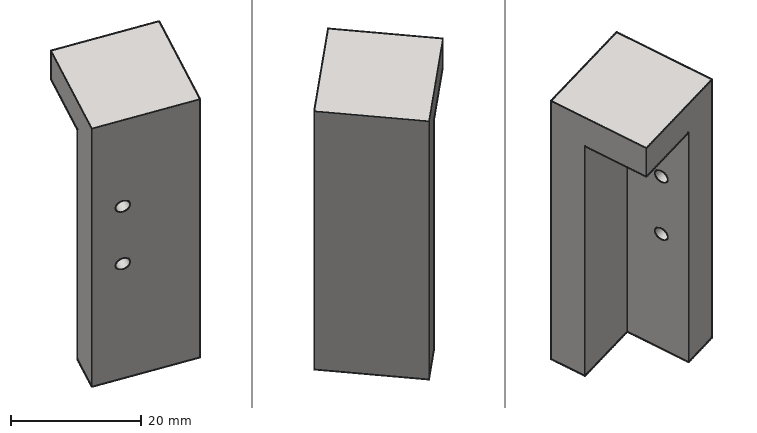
import cadquery as cq

width = 17.8
height = 57.15

wall = 6.35
cap = 6.35
notch_side = width - wall
notch_height = height - cap

hole_diameter = 2.4
hole_edge_distance = 5.1
hole_heights = [notch_height * fraction for fraction in (1 / 2, 3 / 4)]


def make_block():
    """Square post with one corner on the origin."""
    return cq.Workplane("XY").box(width, width, height, centered=False)


def make_notch():
    """Square prism removed from the -X, -Y corner below the cap."""
    return cq.Workplane("XY").box(notch_side, notch_side, notch_height, centered=False)


def make_holes():
    """Cylinders along X that pass through the +X wall."""
    centres = [(hole_edge_distance, z) for z in hole_heights]
    return (
        cq.Workplane("YZ")
        .pushPoints(centres)
        .circle(hole_diameter / 2)
        .extrude(width)
    )


result = make_block().cut(make_notch()).cut(make_holes())